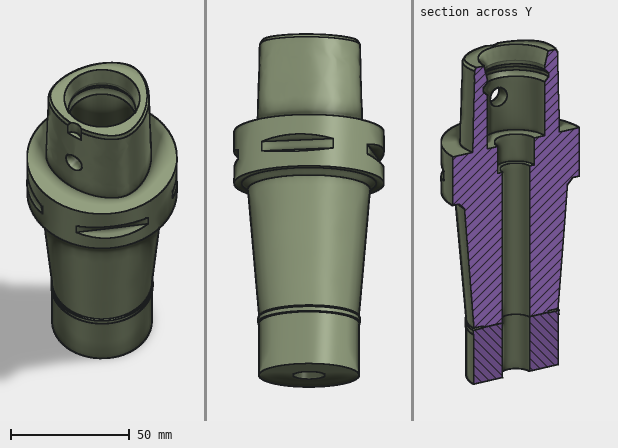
import cadquery as cq
import math

total_height = 143.0
flange_top = 105.1
flange_bottom = 83.0
body_bottom = 25.3
nut_top = 24.6
collar_bottom = 22.7
collar_chamfer = 0.36

flange_diameter = 63.0
flange_radius = flange_diameter / 2
undercut_radius = 28.3
cone_top_radius = 25.7
cone_bottom_radius = 21.0
neck_radius = 16.3
nut_diameter = 42.2
nut_radius = nut_diameter / 2
collar_radius = nut_radius + collar_chamfer

shank_base_radius = 22.2
shank_top_radius = 21.2
shank_lobe = 1.5
shank_chamfer_height = 1.5
shank_chamfer_width = 0.9
shank_outline_points = 36

through_radius = 6.7
middle_radius = 9.0
main_radius = 14.2
mouth_radius = 15.9
relief_radius = 16.2
mouth_depth = 6.5
relief_start_depth = 8.2
relief_end_depth = 13.7
main_depth = total_height - flange_top
middle_depth = 50.0

notch_radius = 4.3
notch_axis_y = -22.0
notch_depth = 6.0
cross_hole_radius = 4.1
cross_hole_height = 120.7

groove_count = 4
groove_height = 93.1
groove_floor_distance = 27.6
groove_floor_width = 4.0
groove_mouth_width = 7.5


def shank_point(mean_radius, angle):
    """Point of the lobed curve whose tangent distance is mean_radius - lobe * sin(3 * angle)."""
    distance = mean_radius - shank_lobe * math.sin(3 * angle)
    slope = -3 * shank_lobe * math.cos(3 * angle)
    x = distance * math.cos(angle) - slope * math.sin(angle)
    y = distance * math.sin(angle) + slope * math.cos(angle)
    return (x, y)


def shank_section(mean_radius, height):
    """Closed lobed wire at the given height."""
    step = 2 * math.pi / shank_outline_points
    points = [shank_point(mean_radius, i * step) for i in range(shank_outline_points)]
    return cq.Workplane("XY", origin=(0, 0, height)).spline(points, periodic=True).wire().val()


def make_shank():
    """Tapered lobed shank with a bevelled top edge."""
    bevel_start = total_height - shank_chamfer_height
    base = shank_section(shank_base_radius, flange_top)
    shoulder = shank_section(shank_top_radius, bevel_start)
    rim = shank_section(shank_top_radius - shank_chamfer_width, total_height)
    taper = cq.Solid.makeLoft([base, shoulder], True)
    bevel = cq.Solid.makeLoft([shoulder, rim], True)
    return cq.Workplane(taper).union(cq.Workplane(bevel))


def make_turned_body():
    """Flange, undercut chamfer, long cone and the short neck above the nut."""
    cone_top = flange_bottom - (undercut_radius - cone_top_radius)
    profile = [
        (0, nut_top),
        (neck_radius, nut_top),
        (neck_radius, body_bottom),
        (cone_bottom_radius, body_bottom),
        (cone_top_radius, cone_top),
        (undercut_radius, flange_bottom),
        (flange_radius, flange_bottom),
        (flange_radius, flange_top),
        (0, flange_top),
    ]
    return cq.Workplane("XZ").polyline(profile).close().revolve(360, (0, 0, 0), (0, 1, 0))


def make_bore():
    """Bore with a conical mouth, an internal relief groove and two steps below it."""
    relief_side = relief_radius - main_radius
    steps = [
        (0, 0),
        (mouth_radius, 0),
        (main_radius, mouth_depth),
        (main_radius, relief_start_depth),
        (relief_radius, relief_start_depth + relief_side),
        (relief_radius, relief_end_depth - relief_side),
        (main_radius, relief_end_depth),
        (main_radius, main_depth),
        (middle_radius, main_depth),
        (middle_radius, middle_depth),
        (through_radius, middle_depth),
        (through_radius, total_height),
        (0, total_height),
    ]
    profile = [(radius, total_height - depth) for radius, depth in steps]
    return cq.Workplane("XZ").polyline(profile).close().revolve(360, (0, 0, 0), (0, 1, 0))


def make_notch():
    """Round-backed key notch in the shank rim."""
    start = (0, notch_axis_y, total_height - notch_depth)
    return cq.Workplane("XY", origin=start).circle(notch_radius).extrude(notch_depth)


def make_cross_hole():
    """Hole from the -Y side of the shank into the bore."""
    start = (0, 0, cross_hole_height)
    return cq.Workplane("XZ", origin=start).circle(cross_hole_radius).extrude(flange_radius)


def make_groove(angle):
    """Flat-bottomed gripper groove with flared sides, facing the given direction."""
    half_floor = groove_floor_width / 2
    half_mouth = groove_mouth_width / 2
    profile = [
        (groove_floor_distance, groove_height - half_floor),
        (flange_radius, groove_height - half_mouth),
        (flange_radius, groove_height + half_mouth),
        (groove_floor_distance, groove_height + half_floor),
    ]
    groove = cq.Workplane("XZ").polyline(profile).close().extrude(flange_radius, both=True)
    return groove.rotate((0, 0, 0), (0, 0, 1), angle)


def make_holder():
    """Tool holder from the shank down to the neck."""
    holder = make_turned_body().union(make_shank())
    holder = holder.cut(make_bore()).cut(make_notch()).cut(make_cross_hole())
    pitch = 360 / groove_count
    for i in range(groove_count):
        holder = holder.cut(make_groove((i + 0.5) * pitch))
    return holder


def make_nut():
    """Clamping nut with a thin collar at its top, butting against the neck."""
    profile = [
        (through_radius, 0),
        (nut_radius, 0),
        (nut_radius, collar_bottom - collar_chamfer),
        (collar_radius, collar_bottom),
        (collar_radius, nut_top),
        (through_radius, nut_top),
    ]
    return cq.Workplane("XZ").polyline(profile).close().revolve(360, (0, 0, 0), (0, 1, 0))


holder = make_holder()
nut = make_nut()
result = cq.Compound.makeCompound([holder.val(), nut.val()])